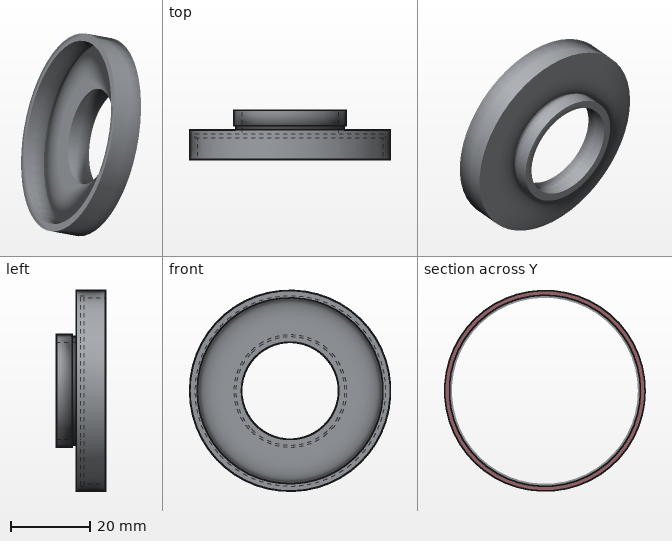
import cadquery as cq

flange_diameter = 50.8
flange_thickness = 7.5
neck_diameter = 27.5
neck_length = 1.0
boss_diameter = 28.5
boss_length = 4.0
bore_diameter = 24.5
recess_diameter = 47.0
recess_depth = 6.5
undercut_diameter = 48.2
undercut_width = 1.0

undercut_start = recess_depth - undercut_width
boss_start = flange_thickness + neck_length
boss_end = boss_start + boss_length


def turned(diameter, start, end):
    """Solid cylinder on the Y axis between two stations, revolved from the -X side."""
    section = cq.Workplane("XY").moveTo(0, start).lineTo(-diameter / 2, start)
    section = section.lineTo(-diameter / 2, end).lineTo(0, end).close()
    return section.revolve(360, (0, 0), (0, 1))


def make_body():
    """Flange, narrower neck and end boss joined in a row."""
    flange = turned(flange_diameter, 0, flange_thickness)
    neck = turned(neck_diameter, flange_thickness, boss_start)
    boss = turned(boss_diameter, boss_start, boss_end)
    return flange.union(neck).union(boss)


def cut_openings(body):
    """Cut the flange recess, the undercut at its floor and the through bore."""
    recess = turned(recess_diameter, 0, recess_depth)
    undercut = turned(undercut_diameter, undercut_start, recess_depth)
    bore = turned(bore_diameter, 0, boss_end)
    return body.cut(recess).cut(undercut).cut(bore)


result = cut_openings(make_body())